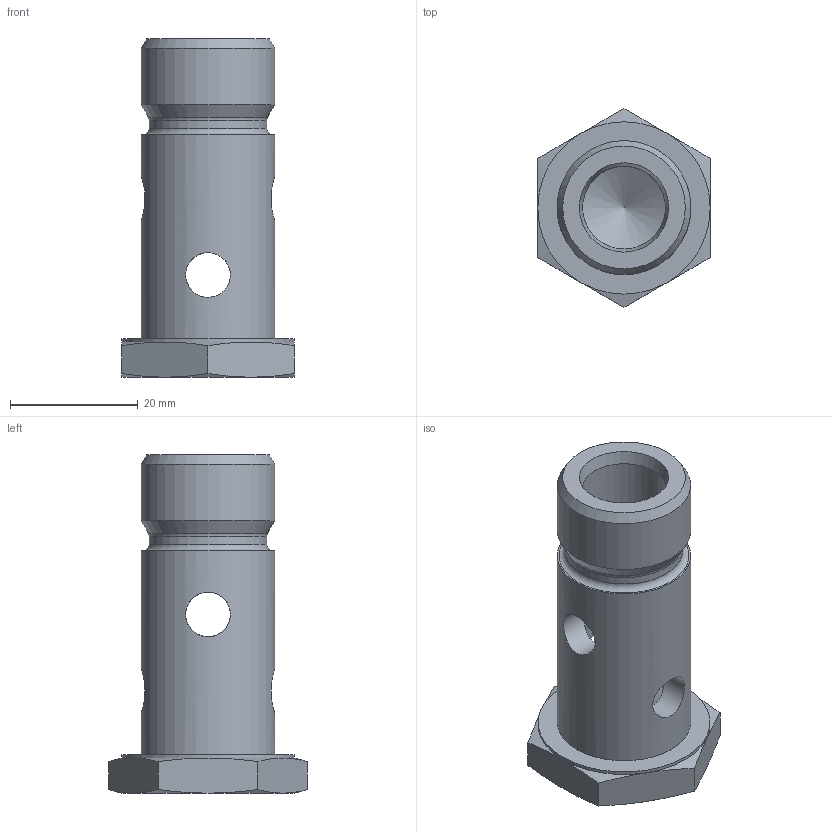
import cadquery as cq
import math

total_height = 53.0

head_height = 6.0
across_flats = 27.0
side_count = 6
collar_height = 0.5
head_bevel_angle = 15.0

body_radius = 20.955 / 2
tip_chamfer_height = 1.5
tip_chamfer_angle = 30.0
undercut_radius = 18.4 / 2
undercut_bottom = 38.0
undercut_width = 2.5
undercut_fillet = 1.0
runout_angle = 30.0

bore_radius = 13.0 / 2
mouth_radius = 14.0 / 2
mouth_depth = 2.0
bore_floor = 12.0
drill_point_angle = 120.0

cross_hole_diameter = 7.0
lower_hole_height = 16.0
upper_hole_height = 28.0


def tangent(degrees):
    return math.tan(math.radians(degrees))


def make_head():
    """Hexagon bevelled at both ends, with a round washer face on top."""
    flat_radius = across_flats / 2
    corner_radius = flat_radius / math.cos(math.pi / side_count)
    bevel_drop = (corner_radius - flat_radius) * tangent(head_bevel_angle)
    collar_bottom = head_height - collar_height

    hexagon = (
        cq.Workplane("XY")
        .polygon(side_count, 2 * corner_radius)
        .extrude(head_height)
        .rotate((0, 0, 0), (0, 0, 1), 180 / side_count)
    )
    envelope = (
        cq.Workplane("XZ")
        .moveTo(0, 0)
        .lineTo(flat_radius, 0)
        .lineTo(corner_radius, bevel_drop)
        .lineTo(corner_radius, collar_bottom - bevel_drop)
        .lineTo(flat_radius, collar_bottom)
        .lineTo(flat_radius, head_height)
        .lineTo(0, head_height)
        .close()
        .revolve(360, (0, 0, 0), (0, 1, 0))
    )
    return hexagon.intersect(envelope)


def make_shank():
    """Round shank with an undercut below the threaded end and a chamfered tip."""
    tip_radius = body_radius - tip_chamfer_height * tangent(tip_chamfer_angle)

    cone_foot = undercut_bottom + undercut_width
    cone_top = cone_foot + (body_radius - undercut_radius) / tangent(runout_angle)

    tangent_length = undercut_fillet * tangent(runout_angle / 2)
    angle = math.radians(runout_angle)
    cone_touch_radius = undercut_radius + tangent_length * math.sin(angle)
    cone_touch_height = cone_foot + tangent_length * math.cos(angle)

    return (
        cq.Workplane("XZ")
        .moveTo(0, 0)
        .lineTo(body_radius, 0)
        .lineTo(body_radius, undercut_bottom)
        .lineTo(undercut_radius + undercut_fillet, undercut_bottom)
        .radiusArc((undercut_radius, undercut_bottom + undercut_fillet), undercut_fillet)
        .lineTo(undercut_radius, cone_foot - tangent_length)
        .radiusArc((cone_touch_radius, cone_touch_height), undercut_fillet)
        .lineTo(body_radius, cone_top)
        .lineTo(body_radius, total_height - tip_chamfer_height)
        .lineTo(tip_radius, total_height)
        .lineTo(0, total_height)
        .close()
        .revolve(360, (0, 0, 0), (0, 1, 0))
    )


def make_bore():
    """Blind bore opening at the top."""
    point_depth = bore_radius / tangent(drill_point_angle / 2)
    return (
        cq.Workplane("XZ")
        .moveTo(0, bore_floor - point_depth)
        .lineTo(bore_radius, bore_floor)
        .lineTo(bore_radius, total_height - mouth_depth)
        .lineTo(mouth_radius, total_height)
        .lineTo(0, total_height)
        .close()
        .revolve(360, (0, 0, 0), (0, 1, 0))
    )


def make_cross_hole(plane, height):
    """Hole through both walls of the shank, along the normal of the given plane."""
    return (
        cq.Workplane(plane)
        .center(0, height)
        .circle(cross_hole_diameter / 2)
        .extrude(across_flats / 2, both=True)
    )


result = make_head().union(make_shank()).cut(make_bore())
result = result.cut(make_cross_hole("XZ", lower_hole_height))
result = result.cut(make_cross_hole("YZ", upper_hole_height))